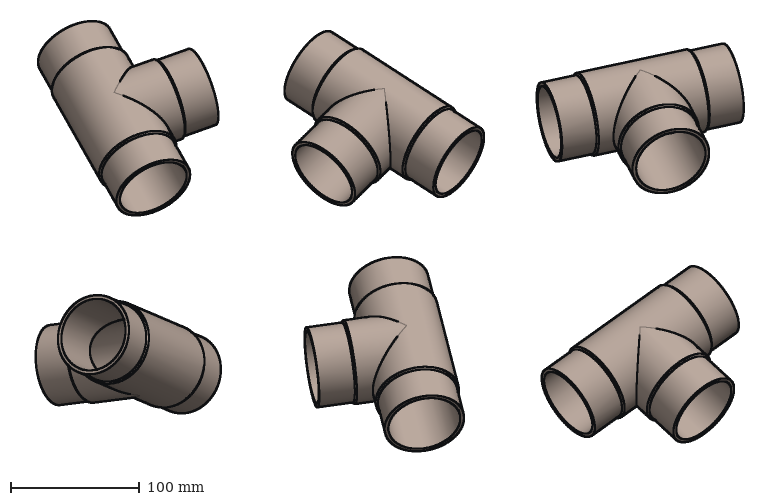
import cadquery as cq

run_length = 149.0
branch_reach = 75.0

body_diameter = 66.0
spigot_diameter = 63.0
bore_diameter = 56.9

spigot_length = 28.0
shoulder_chamfer = (body_diameter - spigot_diameter) / 2

body_length = run_length - 2 * spigot_length
branch_body_length = branch_reach - spigot_length


def run_cylinder(diameter, length):
    """Cylinder along X, centred on the origin."""
    return cq.Workplane("YZ").circle(diameter / 2).extrude(length / 2, both=True)


def branch_cylinder(diameter, length):
    """Cylinder from the run axis toward +Y."""
    return cq.Workplane("XZ").circle(diameter / 2).extrude(-length)


run_body = run_cylinder(body_diameter, body_length).faces("<X or >X").chamfer(shoulder_chamfer)
run = run_body.union(run_cylinder(spigot_diameter, run_length))

branch_body = branch_cylinder(body_diameter, branch_body_length).faces(">Y").chamfer(shoulder_chamfer)
branch = branch_body.union(branch_cylinder(spigot_diameter, branch_reach))

bores = run_cylinder(bore_diameter, run_length).union(branch_cylinder(bore_diameter, branch_reach))

result = run.union(branch).cut(bores)